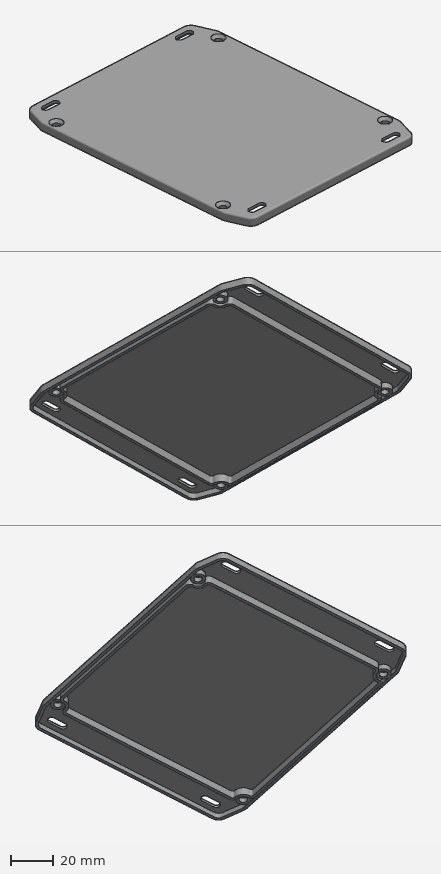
import cadquery as cq
import math

length = 149.0
width = 120.0
skirt_height = 4.5
wall = 1.5
top_round = 1.0

cut_start_x = 60.0
cut_angle = 20.0
corner_radius = 5.0

hole_offset = 55.0
hole_diameter = 4.0
countersink_diameter = 7.2
countersink_angle = 90.0
boss_radius = 3.6

slot_x = 68.1
slot_y = 45.5
slot_width = 4.0
slot_length = 10.7

lip_drop = 1.3
lip_round = 2.7

ceiling = skirt_height - wall


def four_corners(x, y):
    return [(sx * x, sy * y) for sx in (-1, 1) for sy in (-1, 1)]


def make_shell():
    half_x = length / 2
    half_y = width / 2
    cut_drop = (half_x - cut_start_x) * math.tan(math.radians(cut_angle))
    cut_end_y = half_y - cut_drop
    outline = [
        (cut_start_x, half_y),
        (half_x, cut_end_y),
        (half_x, -cut_end_y),
        (cut_start_x, -half_y),
        (-cut_start_x, -half_y),
        (-half_x, -cut_end_y),
        (-half_x, cut_end_y),
        (-cut_start_x, half_y),
    ]
    block = cq.Workplane("XY").polyline(outline).close().extrude(skirt_height)
    block = block.edges("|Z").fillet(corner_radius)
    rim = block.faces("<Z").wires().val()
    cavity = cq.Workplane("XY").add(rim).toPending().offset2D(-wall).extrude(ceiling)
    return block.faces(">Z").edges().fillet(top_round).cut(cavity)


def make_lip_block(side, round_radius, scoop_radius):
    """Square block with a round scoop about each screw hole, blended into its sides by rounds."""
    height = ceiling + lip_drop
    half = side / 2
    diagonal = math.sqrt(0.5)
    scoop_edge = hole_offset - scoop_radius
    round_start = scoop_edge - round_radius
    round_middle_near = round_start + round_radius * diagonal
    round_middle_far = hole_offset + round_radius * diagonal
    scoop_middle = hole_offset - scoop_radius * diagonal
    scoop = (
        cq.Workplane("XY", origin=(0, 0, -lip_drop))
        .moveTo(half, round_start)
        .threePointArc((round_middle_far, round_middle_near), (hole_offset, scoop_edge))
        .threePointArc((scoop_middle, scoop_middle), (scoop_edge, hole_offset))
        .threePointArc((round_middle_near, round_middle_far), (round_start, half))
        .lineTo(half, half)
        .close()
        .extrude(height)
    )
    block = cq.Workplane("XY", origin=(0, 0, -lip_drop)).rect(side, side).extrude(height)
    for quarter in range(4):
        block = block.cut(scoop.rotate((0, 0, 0), (0, 0, 1), 90 * quarter))
    return block


def make_lip():
    outer_side = 2 * (hole_offset + lip_round)
    outer = make_lip_block(outer_side, lip_round, boss_radius)
    inner = make_lip_block(outer_side - 2 * wall, lip_round - wall, boss_radius + wall)
    return outer.cut(inner)


def make_bosses():
    corners = four_corners(hole_offset, hole_offset)
    return cq.Workplane("XY").pushPoints(corners).circle(boss_radius).extrude(ceiling)


def cut_screw_holes(body):
    return (
        body.faces(">Z")
        .workplane(origin=(0, 0, skirt_height))
        .pushPoints(four_corners(hole_offset, hole_offset))
        .cskHole(hole_diameter, countersink_diameter, countersink_angle)
    )


def cut_slots(body):
    slots = (
        cq.Workplane("XY")
        .pushPoints(four_corners(slot_x, slot_y))
        .slot2D(slot_length, slot_width, 90)
        .extrude(skirt_height)
    )
    return body.cut(slots)


lid = make_shell().union(make_bosses()).union(make_lip())
result = cut_slots(cut_screw_holes(lid))